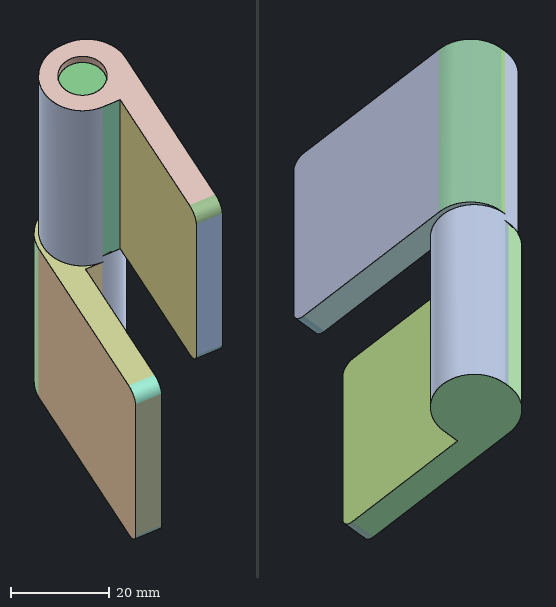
import cadquery as cq
import math

total_height = 102.0
total_width = 51.5
total_depth = 20.0

barrel_radius = 9.0
pin_radius = 5.0
pin_recess = 2.0

leaf_height = 50.0
leaf_gap = 2.0
leaf_thickness = 6.0
corner_radius = 3.0

leaf_outer_y = total_depth / 2
leaf_inner_y = leaf_outer_y - leaf_thickness
leaf_end_x = total_width - barrel_radius
round_center_y = leaf_outer_y - barrel_radius
upper_barrel_height = leaf_height + leaf_gap
upper_leaf_base = total_height - leaf_height
upper_barrel_base = total_height - upper_barrel_height


def make_leaf(base_z, side):
    """Leaf wrapped around the barrel; side is +1 for the +Y leaf, -1 for the -Y leaf."""
    diagonal = barrel_radius * math.sqrt(0.5)
    profile = (
        cq.Workplane("XY")
        .workplane(offset=base_z)
        .moveTo(-barrel_radius, 0)
        .lineTo(-barrel_radius, side * round_center_y)
        .threePointArc(
            (-diagonal, side * (round_center_y + diagonal)),
            (0, side * leaf_outer_y),
        )
        .lineTo(leaf_end_x, side * leaf_outer_y)
        .lineTo(leaf_end_x, side * leaf_inner_y)
        .lineTo(barrel_radius, side * leaf_inner_y)
        .lineTo(barrel_radius, 0)
        .close()
    )
    return profile.extrude(leaf_height).faces(">X").edges("|Y").fillet(corner_radius)


def make_barrel(base_z, height):
    return cq.Workplane("XY").workplane(offset=base_z).circle(barrel_radius).extrude(height)


lower_half = make_barrel(0, leaf_height).union(make_leaf(0, -1))

upper_half = make_barrel(upper_barrel_base, upper_barrel_height).union(
    make_leaf(upper_leaf_base, 1)
)

recess = (
    cq.Workplane("XY")
    .workplane(offset=total_height - pin_recess)
    .circle(pin_radius)
    .extrude(pin_recess)
)

result = lower_half.union(upper_half).cut(recess)